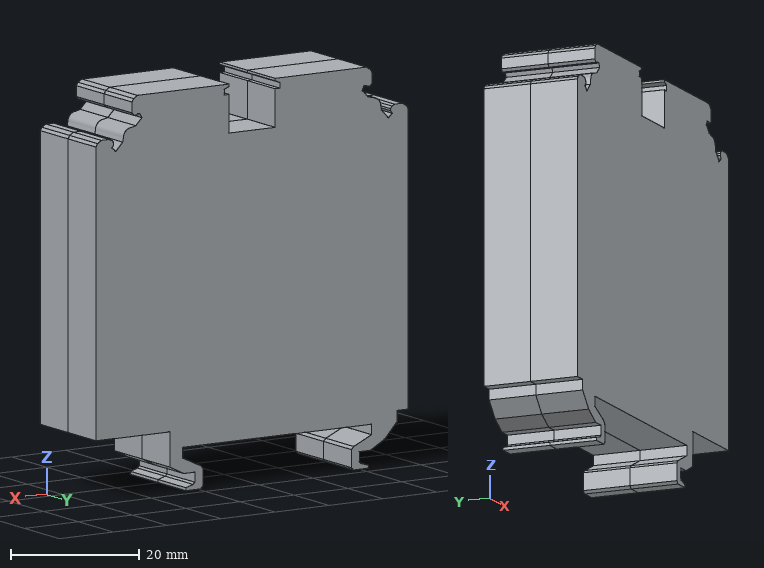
import cadquery as cq
import math


length = 58.0
thickness = 16.0
height = 63.7
half_length = length / 2
half_thickness = thickness / 2

notch_half_width = 4.3
notch_floor_z = 55.95
groove_depth = 0.9
groove_bottom_z = 62.1
groove_inner_top_z = 62.95
groove_mouth_top_z = 63.35

shoulder_z = 57.3
tower_half_length = 22.3
steep_facet = (0.3, 0.5)
shallow_facet = (0.7, 0.45)

bead_radius = 1.5
bead_outer_x = 23.9
bead_top_z = 58.75
bead_foot = (24.0, 56.6)
bead_shelf = (21.6, 58.95)

left_underside_z = 8.6
right_underside_z = 9.7
rail_seat_z = 6.95
left_leg_x = -26.95
left_leg_bend_z = 6.9
left_leg_knee = (-24.65, 4.35)
right_leg_x = 15.2
right_leg_bottom_z = 4.1

rail_center_x = -4.65
rail_half_width = 17.5
foot_gap_half = 13.75
foot_neck = 1.5
toe_reach = 16.95
toe_tip_height = 0.5
toe_root_z = 1.2
toe_root_bevel = 0.3
foot_corner = 0.45
heel_z = 2.8
heel_reach = 17.35
ramp_bottom_z = 3.75
ramp_top_z = 5.3

clamp_screw_x = 12.95
clamp_screw_radius = 4.3
center_screw_radius = 3.2
slot_width = 0.95
slot_angle = -45
head_thickness = 1.9

panel_bottom_z, panel_top_z = 21.85, 45.4
panel_inner_bottom_z, panel_inner_top_z = 28.8, 38.4
panel_inner_half_width = 5.7
panel_thickness = 0.65


def outer_corner(x, z):
    """Points of the two-facet bevel at an outer corner (x, z), going up and inward."""
    return [
        (x, z - steep_facet[1] - shallow_facet[1]),
        (x - steep_facet[0], z - shallow_facet[1]),
        (x - steep_facet[0] - shallow_facet[0], z),
    ]


shoulder_and_groove = outer_corner(half_length, shoulder_z) + [
    (26.45, shoulder_z),
    (25.95, 57.05),
    (25.7, 56.65),
    (25.7, 56.35),
    (26.0, 55.9),
    (25.3, 55.25),
    bead_foot,
]
bead_start = (bead_outer_x, bead_top_z - bead_radius)
bead_sagitta = bead_radius * (1 - math.sqrt(0.5))
bead_crest = (bead_outer_x - bead_sagitta, bead_top_z - bead_sagitta)
bead_end = (bead_outer_x - bead_radius, bead_top_z)
undercut_and_tower = [
    bead_shelf,
    (20.45, 60.1),
    (20.8, 60.75),
    (21.2, 60.8),
    (21.5, 60.6),
    (21.9, 60.6),
    (tower_half_length, 61.05),
] + outer_corner(tower_half_length, height)
notch_edge = [
    (notch_half_width, height),
    (notch_half_width, groove_mouth_top_z),
    (notch_half_width + groove_depth, groove_inner_top_z),
    (notch_half_width + groove_depth, groove_bottom_z),
    (notch_half_width, groove_bottom_z),
    (notch_half_width, notch_floor_z),
]


def mirrored(points):
    """The same points on the -X side, in reverse order."""
    return [(-x, z) for x, z in reversed(points)]


def foot(side):
    """Contour of one rail foot from its heel round the toe to the rail seat; side is -1 or +1."""
    neck_reach = foot_gap_half + foot_neck
    reach_and_height = [
        (heel_reach, heel_z),
        (neck_reach, heel_z),
        (neck_reach, toe_root_z),
        (neck_reach + toe_root_bevel, toe_root_z - toe_root_bevel),
        (toe_reach, toe_tip_height),
        (toe_reach, 0),
        (foot_gap_half + foot_corner, 0),
        (foot_gap_half, foot_corner),
        (foot_gap_half, ramp_bottom_z - foot_corner),
        (foot_gap_half + foot_corner, ramp_bottom_z),
        (rail_half_width, ramp_top_z),
        (rail_half_width, rail_seat_z),
    ]
    return [(rail_center_x + side * reach, z) for reach, z in reach_and_height]


def block_body():
    """The block contour extruded over the full thickness, centred on Y = 0."""
    left_leg = [
        (-half_length, left_underside_z),
        (left_leg_x, left_underside_z),
        (left_leg_x, left_leg_bend_z),
        left_leg_knee,
    ]
    right_leg = [
        (right_leg_x, right_leg_bottom_z),
        (right_leg_x, right_underside_z),
        (half_length, right_underside_z),
    ]
    underside = left_leg + foot(-1) + foot(1)[::-1] + right_leg
    top = undercut_and_tower + notch_edge
    contour = (
        cq.Workplane("XZ")
        .polyline(underside + shoulder_and_groove + [bead_start])
        .threePointArc(bead_crest, bead_end)
    )
    for point in top + mirrored(top) + mirrored([bead_end]):
        contour = contour.lineTo(*point)
    contour = contour.threePointArc(*mirrored([bead_start, bead_crest]))
    for point in mirrored(shoulder_and_groove):
        contour = contour.lineTo(*point)
    return contour.close().extrude(half_thickness, both=True)


def mark_screw_head(block, x, top_z, radius):
    """Draw a slotted screw head as edges on the flat face at top_z; the shape is unchanged."""
    head = cq.Workplane("XY", origin=(x, 0, top_z)).circle(radius).extrude(-head_thickness)
    slot = (
        cq.Workplane("XY", origin=(x, 0, top_z))
        .transformed(rotate=(0, 0, slot_angle))
        .rect(2 * radius, slot_width)
        .extrude(-head_thickness)
        .intersect(head)
    )
    return block.union(head, clean=False).union(slot, clean=False)


def panel_edge(half_width, z):
    """The two end points (Y, Z) of a level edge of the panel."""
    return [(-half_width, z), (half_width, z)]


def mark_end_panel(block):
    """Draw the framed panel as edges on the flat -X end face; the shape is unchanged."""
    outer_bottom = panel_edge(half_thickness, panel_bottom_z)
    inner_bottom = panel_edge(panel_inner_half_width, panel_inner_bottom_z)
    inner_top = panel_edge(panel_inner_half_width, panel_inner_top_z)
    outer_top = panel_edge(half_thickness, panel_top_z)
    bands = [(outer_bottom, inner_bottom), (inner_bottom, inner_top), (inner_top, outer_top)]
    for lower, upper in bands:
        plate = (
            cq.Workplane("YZ", origin=(-half_length, 0, 0))
            .polyline(lower + upper[::-1])
            .close()
            .extrude(panel_thickness)
        )
        block = block.union(plate, clean=False)
    return block


def half_shell(block, side):
    """The half of the block on one side of the mid plane; side is -1 or +1 along Y."""
    half_space = (
        cq.Workplane("XY")
        .box(length, half_thickness, height)
        .translate((0, side * half_thickness / 2, height / 2))
    )
    return block.intersect(half_space, clean=False)


block = block_body()
for screw_x in (-clamp_screw_x, clamp_screw_x):
    block = mark_screw_head(block, screw_x, height, clamp_screw_radius)
block = mark_screw_head(block, 0, notch_floor_z, center_screw_radius)
block = mark_end_panel(block)

front_shell = half_shell(block, -1)
rear_shell = half_shell(block, 1)

result = cq.Compound.makeCompound([front_shell.solids().val(), rear_shell.solids().val()])